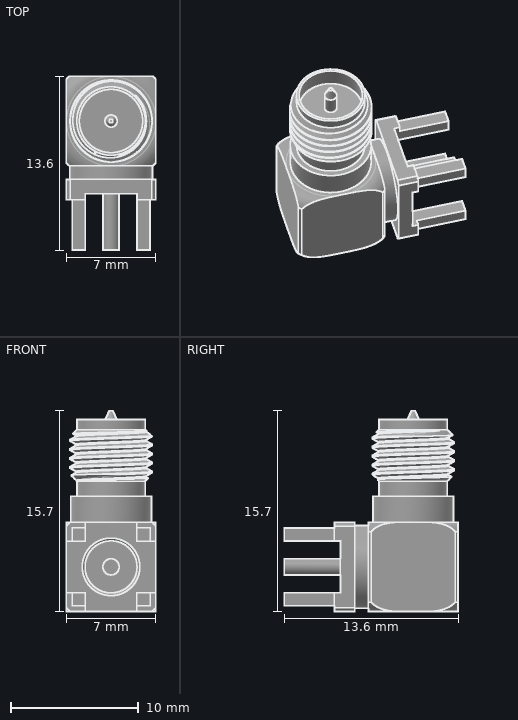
import cadquery as cq
import math


block_size = 7.0
block_half = block_size / 2
edge_chamfer = 0.22
corner_radius = 1.5

shoulder_diameter = 6.33
shoulder_top = 5.53
barrel_diameter = 5.35
barrel_top = 11.52
socket_diameter = 4.95
socket_depth = 1.52

thread_diameter = 6.42
thread_root_diameter = 5.54
thread_pitch = 0.7
thread_bottom = 6.7
thread_top = 10.72
thread_half_angle = 30.0
thread_crest_width = 0.1
thread_overrun = 2
envelope_clearance = 0.15
root_overlap = 0.08

contact_diameter = 0.95
contact_tip_diameter = 0.3
contact_cone_height = 0.72
contact_top = 12.2

neck_diameter = 6.5
neck_length = 1.05
plate_thickness = 1.13
plate_chamfer = 0.31
foot_size = 1.49
foot_height = 0.47
leg_size = 1.04
leg_length = 3.94

groove_diameter = 4.5
insulator_diameter = 4.07
groove_depth = 0.22
pin_diameter = 1.27

neck_start = block_half
plate_start = neck_start + neck_length
plate_face = plate_start + plate_thickness
foot_face = plate_face + foot_height
leg_end = foot_face + leg_length


def upright_cylinder(diameter, bottom, top):
    """Cylinder on the Z axis between two heights."""
    return cq.Workplane("XY").workplane(offset=bottom).circle(diameter / 2).extrude(top - bottom)


def front_plane(distance):
    """Sketch plane facing -Y, at a distance from the block centre."""
    return cq.Workplane("XZ").workplane(offset=distance)


def make_block():
    """Cube whose corners are turned off to a round at the top and bottom."""
    block = cq.Workplane("XY").box(block_size, block_size, block_size)
    block = block.edges("|Z").chamfer(edge_chamfer)
    turned_diameter = block_size + 2 * corner_radius
    turned = upright_cylinder(turned_diameter, -block_half, block_half).edges().fillet(corner_radius)
    return block.intersect(turned)


def make_thread():
    """Right-hand helical ridge on a core, with 45 degree bevels at both ends."""
    crest_radius = thread_diameter / 2
    ridge_base_radius = thread_root_diameter / 2 - root_overlap
    ridge_depth = crest_radius - ridge_base_radius
    crest_half = thread_crest_width / 2
    base_half = crest_half + ridge_depth * math.tan(math.radians(thread_half_angle))
    overrun_length = thread_overrun * thread_pitch
    helix_start = thread_bottom - overrun_length
    helix_height = thread_top - thread_bottom + 2 * overrun_length
    helix = cq.Wire.makeHelix(
        thread_pitch, helix_height, ridge_base_radius, center=cq.Vector(0, 0, helix_start)
    )
    ridge = (
        cq.Workplane("XZ")
        .moveTo(ridge_base_radius, helix_start - base_half)
        .lineTo(crest_radius, helix_start - crest_half)
        .lineTo(crest_radius, helix_start + crest_half)
        .lineTo(ridge_base_radius, helix_start + base_half)
        .close()
        .sweep(cq.Workplane(helix), isFrenet=True)
    )
    core = upright_cylinder(
        thread_root_diameter, helix_start - thread_pitch, helix_start + helix_height + thread_pitch
    )
    envelope_diameter = thread_diameter + envelope_clearance
    envelope = upright_cylinder(envelope_diameter, thread_bottom, thread_top)
    envelope = envelope.edges().chamfer((envelope_diameter - barrel_diameter) / 2)
    return core.union(ridge).intersect(envelope)


def make_barrel():
    """Shoulder and threaded barrel with an open socket at the top."""
    shoulder = upright_cylinder(shoulder_diameter, 0, shoulder_top)
    tube = upright_cylinder(barrel_diameter, 0, barrel_top)
    socket = upright_cylinder(socket_diameter, barrel_top - socket_depth, barrel_top)
    return make_thread().union(tube).union(shoulder).cut(socket)


def make_contact():
    """Contact pin on the socket floor with a blunt conical tip."""
    cone_base = contact_top - contact_cone_height
    shaft = upright_cylinder(contact_diameter, 0, cone_base)
    cone = (
        shaft.faces(">Z")
        .workplane()
        .circle(contact_diameter / 2)
        .workplane(offset=contact_cone_height)
        .circle(contact_tip_diameter / 2)
        .loft(combine=False)
    )
    return shaft.union(cone)


def make_flange():
    """Neck, grooved square plate with four corner feet and legs, and the solder pin."""
    neck = front_plane(0).circle(neck_diameter / 2).extrude(plate_start)
    plate = (
        front_plane(plate_start)
        .rect(block_size, block_size)
        .extrude(foot_face - plate_start)
        .edges("|Y")
        .chamfer(plate_chamfer)
    )
    channel_width = block_size - 2 * foot_size
    for width, height in ((channel_width, block_size), (block_size, channel_width)):
        plate = plate.cut(front_plane(plate_face).rect(width, height).extrude(foot_height))

    groove = (
        cq.Workplane("XY")
        .moveTo(groove_diameter / 2, -plate_face)
        .lineTo(insulator_diameter / 2, -plate_face)
        .lineTo(insulator_diameter / 2, groove_depth - plate_face)
        .close()
        .revolve(360, (0, 0, 0), (0, 1, 0))
    )
    leg_spacing = channel_width + leg_size
    legs = (
        front_plane(plate_start)
        .rect(leg_spacing, leg_spacing, forConstruction=True)
        .vertices()
        .rect(leg_size, leg_size)
        .extrude(leg_end - plate_start)
    )
    pin = front_plane(0).circle(pin_diameter / 2).extrude(leg_end)
    return neck.union(plate).cut(groove).union(legs).union(pin)


result = make_block().union(make_barrel()).union(make_flange()).union(make_contact())